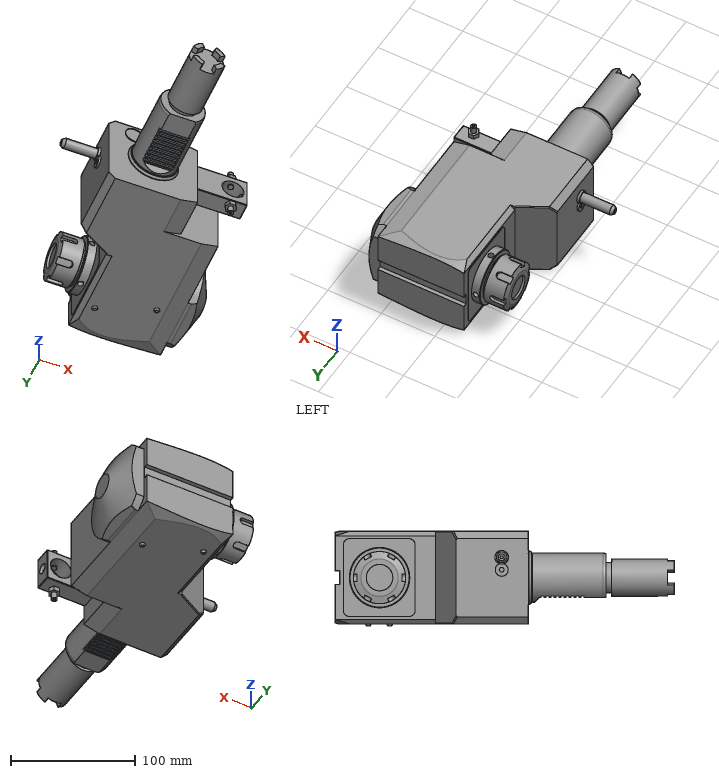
import cadquery as cq
import math


half_height = 37.5
rear_y = 156.0
front_half_width = 38.8
head_left_x = -9.0
head_right_x = 71.5
step_y = 35.3
slope_start_y = 58.3
slope_end_y = 75.0
slope_bevel = 0.8
right_bevel_width = 14.8
bevel_drop = 3.8
front_left_bevel = 5.7
head_left_bevel = 4.0
rear_bevel_run = 12.0
rear_curve = [(6.3, 150.7), (19.1, 152.6), (34.5, 150.7)]
rear_notch_height = 11.0
rear_notch_depth = 3.5
cut_margin = 2.7

spindle_y = 120.0
plate_center_y = 120.4
plate_length = 58.0
plate_height = 63.0
plate_corner = 5.2
plate_thickness = 0.3
flange_radius = 24.3
flange_chamfer = 0.5
flange_end_x = -17.2
neck_radius = 19.7
nut_start_x = -19.0
nut_radius = 21.0
nut_shoulder_x = -37.2
nut_end_x = -38.8
nut_face_radius = 15.0
nut_bore_radius = 10.7
nut_bore_depth = 2.2
nut_slot_count = 6
nut_slot_width = 6.0
nut_slot_depth = 3.0
nut_slot_end_x = -24.5
flange_hole_count = 4
flange_hole_radius = 2.5
flange_hole_depth = 5.5
flange_hole_x = -13.5

cap_radius = 40.2
cap_rim_x = 78.5
cap_end_x = 92.2
cap_end_radius = 10.7
cap_rear_y = 151.3
cap_flat_end_x = 74.5

collar_radius = 22.0
collar_foot_radius = 20.5
collar_land = 0.5
collar_length = 2.5
shank_groove_radius = 19.7
shank_groove_end_y = -3.3
shank_radius = 20.0
shank_end_y = -62.6
shank_chamfer_length = 2.5
shank_chamfer_height = 0.5
shank_neck_radius = 12.3
coupling_start_y = -67.0
coupling_radius = 15.0
coupling_end_y = -112.2
dog_end_y = -117.5
dog_inner_radius = 10.5
dog_count = 4
dog_span = 42.0
rack_flat_z = -16.1
rack_slope_start_y = -4.5
rack_flat_start_y = -8.8
rack_groove_count = 9
rack_first_groove_y = -11.2
rack_length = 32.3
rack_groove_depth = 1.23
rack_groove_width = 2.5

bracket_front_y = 0.8
bracket_rear_y = 16.5
bracket_end_x = 82.5
bracket_chamfer = 0.5
bracket_half_height = 15.0
bracket_hole_x = 70.0
bracket_hole_radius = 9.5
cross_hole_radius = 4.5
screw_y = 5.7
screw_radius = 2.5
screw_inner_z = 8.2
screw_outer_z = 25.2
screw_socket_size = 2.5
screw_socket_depth = 1.6
lock_nut_size = 9.8
lock_nut_height = 4.0

pin_y = 21.5
pin_z = 16.5
pin_radius = 4.5
pin_end_x = -71.5
pin_chamfer_length = 2.7
pin_tip_radius = 2.7
pin_socket_size = 2.7
pin_socket_depth = 1.5
pin_collar_radius = 5.5
pin_collar_length = 2.2
side_screw_z = 6.3
side_screw_radius = 5.2
side_screw_height = 1.6
side_socket_size = 4.0
side_socket_depth = 1.0

recess_x = -16.1
recess_z = 27.4
recess_radius = 8.0
recess_depth = 0.8

stud_places = [(2.7, 129.0), (49.8, 112.0)]
stud_radius = 2.5
stud_tip_radius = 1.5
stud_height = 1.6


def prism(points, y_start, y_end):
    """Extrude a closed (X, Z) outline between two Y positions."""
    outline = cq.Workplane("XZ", origin=(0, y_start, 0)).polyline(points).close()
    return outline.extrude(y_start - y_end)


def cylinder(start, direction, radius, length):
    return cq.Workplane(cq.Solid.makeCylinder(radius, length, cq.Vector(*start), cq.Vector(*direction)))


def both_z(shape):
    """The shape together with its mirror image below the plane Z = 0."""
    return shape.union(shape.mirror("XY"))


def revolve_about_y(profile):
    """Revolve (radius, Y) points about the shank axis."""
    return cq.Workplane("XY").polyline(profile).close().revolve(360, (0, 0), (0, 1))


def revolve_about_x(profile, axis_y, axis_z):
    """Revolve (X, radius) points about an axis parallel to X."""
    plane = cq.Workplane("XY", origin=(0, axis_y, axis_z))
    return plane.polyline(profile).close().revolve(360, (0, 0), (1, 0))


def edge_bevel(face_x, inward, width, drop, y_start, y_end):
    """Wedges that bevel the top and bottom edges of a face of constant X."""
    points = [
        (face_x, half_height - drop),
        (face_x + inward * width, half_height),
        (face_x, half_height + cut_margin),
        (face_x - inward * cut_margin, half_height + cut_margin),
        (face_x - inward * cut_margin, half_height - drop),
    ]
    return both_z(prism(points, y_start, y_end))


def make_head_bevel():
    """Material to remove around the head: a slab with a flared, round-ended core left standing."""
    top_left = (head_left_x + head_left_bevel, rear_y - rear_bevel_run)
    top_right = (head_right_x - right_bevel_width, rear_y - rear_bevel_run)
    flare = (head_right_x - head_left_x) / (top_right[0] - top_left[0])

    top_points = [top_left] + rear_curve + [top_right]
    low_points = [
        (head_left_x + flare * (x - top_left[0]), rear_y + flare * (y - top_left[1]))
        for x, y in top_points
    ]
    core_start_y = slope_end_y - cut_margin
    sections = []
    for points, z in ((low_points, half_height - bevel_drop), (top_points, half_height)):
        left_x = points[0][0]
        right_x = points[-1][0]
        outline = (
            cq.Workplane("XY", origin=(0, 0, z))
            .moveTo(left_x, core_start_y)
            .lineTo(*points[0])
            .spline(points[1:], includeCurrent=True)
            .lineTo(right_x, core_start_y)
            .close()
        )
        sections.append(outline.val())
    core = cq.Workplane(cq.Solid.makeLoft(sections, True))

    slab_size = (head_right_x - head_left_x, rear_y - slope_end_y, bevel_drop)
    slab = cq.Workplane("XY").box(*slab_size, centered=False)
    slab = slab.translate((head_left_x, slope_end_y, half_height - bevel_drop))
    return both_z(slab.cut(core))


def make_housing():
    plan = [
        (-front_half_width, 0),
        (front_half_width, 0),
        (front_half_width, step_y),
        (head_right_x, step_y),
        (head_right_x, rear_y),
        (head_left_x, rear_y),
        (head_left_x, slope_end_y),
        (-front_half_width, slope_start_y),
    ]
    body = cq.Workplane("XY").polyline(plan).close().extrude(half_height, both=True)
    body = body.cut(edge_bevel(front_half_width, -1, right_bevel_width, bevel_drop, 0, step_y))
    body = body.cut(edge_bevel(head_right_x, -1, right_bevel_width, bevel_drop, step_y, slope_end_y))
    body = body.cut(edge_bevel(-front_half_width, 1, front_left_bevel, front_left_bevel, 0, slope_end_y))

    slope_normal = cq.Vector(slope_start_y - slope_end_y, head_left_x + front_half_width, 0)
    slope_face = body.faces(cq.selectors.ParallelDirSelector(slope_normal))
    body = slope_face.edges("not |Z").chamfer(slope_bevel)

    body = body.cut(make_head_bevel())

    notch_size = (head_right_x - head_left_x, rear_notch_depth, rear_notch_height)
    notch = cq.Workplane("XY").box(*notch_size, centered=(False, False, True))
    body = body.cut(notch.translate((head_left_x, rear_y - rear_notch_depth, 0)))
    return body.cut(cylinder((recess_x, 0, recess_z), (0, 1, 0), recess_radius, recess_depth))


def make_plate():
    plate = cq.Workplane("YZ").rect(plate_length, plate_height).extrude(plate_thickness)
    plate = plate.edges("|X").fillet(plate_corner)
    return plate.translate((head_left_x - plate_thickness, plate_center_y, 0))


def make_spindle():
    profile = [
        (head_left_x, 0),
        (head_left_x, flange_radius),
        (flange_end_x + flange_chamfer, flange_radius),
        (flange_end_x, flange_radius - flange_chamfer),
        (flange_end_x, neck_radius),
        (nut_start_x, neck_radius),
        (nut_start_x, nut_radius),
        (nut_shoulder_x, nut_radius),
        (nut_end_x, nut_face_radius),
        (nut_end_x, nut_bore_radius),
        (nut_end_x + nut_bore_depth, nut_bore_radius),
        (nut_end_x + nut_bore_depth, 0),
    ]
    spindle = revolve_about_x(profile, 0, 0)

    slot_floor = nut_radius - nut_slot_depth
    slot_round_x = nut_slot_end_x - nut_slot_width / 2
    slot = (
        cq.Workplane("XZ", origin=(0, slot_floor, 0))
        .moveTo(nut_end_x, -nut_slot_width / 2)
        .lineTo(slot_round_x, -nut_slot_width / 2)
        .threePointArc((nut_slot_end_x, 0), (slot_round_x, nut_slot_width / 2))
        .lineTo(nut_end_x, nut_slot_width / 2)
        .close()
        .extrude(-(nut_slot_depth + cut_margin))
    )
    for i in range(nut_slot_count):
        spindle = spindle.cut(slot.rotate((0, 0, 0), (1, 0, 0), i * 360 / nut_slot_count))

    hole_floor = flange_radius - flange_hole_depth
    hole_length = flange_hole_depth + cut_margin
    hole = cylinder((flange_hole_x, hole_floor, 0), (0, 1, 0), flange_hole_radius, hole_length)
    for i in range(flange_hole_count):
        spindle = spindle.cut(hole.rotate((0, 0, 0), (1, 0, 0), i * 360 / flange_hole_count))
    return spindle.translate((0, spindle_y, 0))


def make_cap():
    profile = [
        (head_right_x, 0),
        (head_right_x, cap_radius),
        (cap_rim_x, cap_radius),
        (cap_end_x, cap_end_radius),
        (cap_end_x, 0),
    ]
    cap = revolve_about_x(profile, spindle_y, 0)

    edge_z = half_height - bevel_drop
    end_z = edge_z - (cap_end_x - cap_flat_end_x) * bevel_drop / right_bevel_width
    envelope = [
        (head_right_x, -edge_z),
        (cap_flat_end_x, -edge_z),
        (cap_end_x, -end_z),
        (cap_end_x, end_z),
        (cap_flat_end_x, edge_z),
        (head_right_x, edge_z),
    ]
    return cap.intersect(prism(envelope, spindle_y - cap_radius, cap_rear_y))


def make_rack_cut():
    """Flat along the underside of the shank, with rack grooves across it."""
    below_z = -collar_radius - cut_margin
    slope_bottom_z = rack_flat_z - (rack_slope_start_y - rack_flat_start_y)
    rack_end_y = shank_end_y - cut_margin
    flat = (
        cq.Workplane("YZ")
        .polyline([
            (rack_slope_start_y, below_z),
            (rack_slope_start_y, slope_bottom_z),
            (rack_flat_start_y, rack_flat_z),
            (rack_end_y, rack_flat_z),
            (rack_end_y, below_z),
        ])
        .close()
        .extrude(collar_radius, both=True)
    )
    rack_pitch = rack_length / (rack_groove_count - 1)
    groove_size = (2 * collar_radius, rack_groove_width, 2 * rack_groove_depth)
    for i in range(rack_groove_count):
        groove_y = rack_first_groove_y - i * rack_pitch
        flat = flat.union(cq.Workplane("XY").box(*groove_size).translate((0, groove_y, rack_flat_z)))
    return flat


def make_dog_gaps():
    """Gaps with radial sides that divide the end rim of the coupling into driving dogs."""
    gap_angle = math.radians(360 / dog_count - dog_span) / 2
    reach = 2 * coupling_radius
    sector = [
        (0, 0),
        (reach * math.cos(gap_angle), reach * math.sin(gap_angle)),
        (reach * math.cos(gap_angle), -reach * math.sin(gap_angle)),
    ]
    gap = prism(sector, dog_end_y, coupling_end_y)
    gaps = cq.Workplane("XY")
    for i in range(dog_count):
        gaps = gaps.union(gap.rotate((0, 0, 0), (0, 1, 0), i * 360 / dog_count))
    return gaps


def make_shank():
    profile = [
        (0, 0),
        (collar_radius, 0),
        (collar_radius, -collar_land),
        (collar_foot_radius, -collar_length),
        (shank_groove_radius, -collar_length),
        (shank_groove_radius, shank_groove_end_y),
        (shank_radius, shank_groove_end_y),
        (shank_radius, shank_end_y + shank_chamfer_length),
        (shank_radius - shank_chamfer_height, shank_end_y),
        (shank_neck_radius, shank_end_y),
        (shank_neck_radius, coupling_start_y),
        (coupling_radius, coupling_start_y),
        (coupling_radius, dog_end_y),
        (dog_inner_radius, dog_end_y),
        (dog_inner_radius, coupling_end_y),
        (0, coupling_end_y),
    ]
    return revolve_about_y(profile).cut(make_rack_cut()).cut(make_dog_gaps())


def make_bracket():
    length = bracket_end_x - front_half_width
    depth = bracket_rear_y - bracket_front_y
    arm = cq.Workplane("XY").box(length, depth, 2 * bracket_half_height, centered=(False, False, True))
    arm = arm.edges(">X or |X").chamfer(bracket_chamfer)
    arm = arm.translate((front_half_width, bracket_front_y, 0))
    arm = arm.cut(cylinder((bracket_hole_x, bracket_front_y, 0), (0, 1, 0), bracket_hole_radius, depth))
    middle_y = (bracket_front_y + bracket_rear_y) / 2
    cross_hole_length = bracket_end_x - bracket_hole_x
    arm = arm.cut(cylinder((bracket_hole_x, middle_y, 0), (1, 0, 0), cross_hole_radius, cross_hole_length))

    screw_length = screw_outer_z - screw_inner_z
    screw = cylinder((bracket_hole_x, screw_y, screw_inner_z), (0, 0, 1), screw_radius, screw_length)
    lock_nut = cq.Workplane("XY", origin=(bracket_hole_x, screw_y, bracket_half_height))
    screw = screw.union(lock_nut.polygon(6, lock_nut_size).extrude(lock_nut_height))
    socket = cq.Workplane("XY", origin=(bracket_hole_x, screw_y, screw_outer_z))
    screw = screw.cut(socket.polygon(6, screw_socket_size).extrude(-screw_socket_depth))
    return arm.union(both_z(screw))


def make_pin():
    profile = [
        (-front_half_width, 0),
        (-front_half_width, pin_collar_radius),
        (-front_half_width - pin_collar_length, pin_collar_radius),
        (-front_half_width - pin_collar_length, pin_radius),
        (pin_end_x + pin_chamfer_length, pin_radius),
        (pin_end_x, pin_tip_radius),
        (pin_end_x, 0),
    ]
    pin = revolve_about_x(profile, pin_y, pin_z)
    socket = cq.Workplane("YZ", origin=(pin_end_x, pin_y, pin_z))
    return pin.cut(socket.polygon(6, pin_socket_size).extrude(pin_socket_depth))


def make_side_screw():
    start = (-front_half_width, pin_y, side_screw_z)
    screw = cylinder(start, (-1, 0, 0), side_screw_radius, side_screw_height)
    socket = cq.Workplane("YZ", origin=(-front_half_width - side_screw_height, pin_y, side_screw_z))
    return screw.cut(socket.polygon(6, side_socket_size).extrude(side_socket_depth))


def make_stud(x, y):
    base = cq.Vector(x, y, -half_height)
    cone = cq.Solid.makeCone(stud_radius, stud_tip_radius, stud_height, base, cq.Vector(0, 0, -1))
    return cq.Workplane(cone)


result = make_housing()
for part in (
    make_plate(),
    make_spindle(),
    make_cap(),
    make_shank(),
    make_bracket(),
    make_pin(),
    make_side_screw(),
):
    result = result.union(part)
for stud_x, stud_y in stud_places:
    result = result.union(make_stud(stud_x, stud_y))